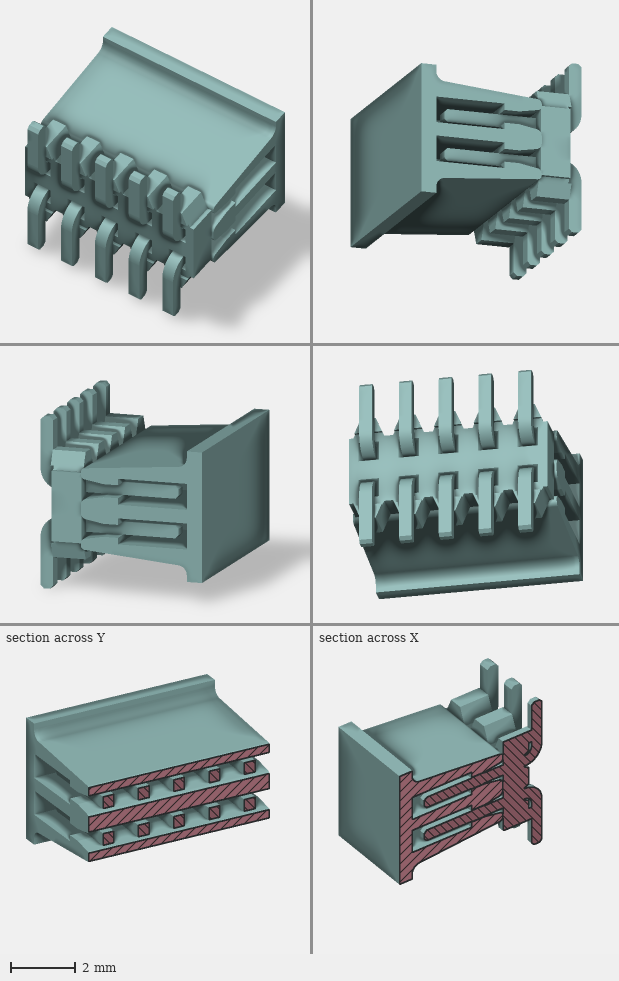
import cadquery as cq
import math


PIN_COLUMNS = 5
PITCH = 1.27
ROW_Z = PITCH / 2

CAP_LENGTH = 6.5
CAP_DEPTH = 4.0
FLANGE_HEIGHT = 4.17
FLANGE_THICKNESS = 0.5
ROOT_HALF_HEIGHT = 1.6
TAPER_ANGLE = 5.0
ROOT_FILLET = 0.3
OUTER_TIP_FILLET = 0.14
MIDDLE_TIP_FILLET = 0.2
SLOT_HEIGHT = 0.83
SLOT_START_Y = 1.23
FLARE_DEPTH = 0.75
FLARE_ANGLE = 10.0

BLOCK_LENGTH = 6.33
BLOCK_DEPTH = 0.99
BLOCK_HEIGHT = 2.25
RIB_TOP_Z = 1.715
RIB_TOP_WIDTH = 0.48
RIB_BASE_WIDTH = 0.99
RIB_RELIEF_Z = 1.25

PIN_WIDTH = 0.4
PIN_THICKNESS = 0.415
PIN_TIP_Y = 3.05
PIN_FRONT_Y = -1.5
PIN_END_Z = 2.75
PIN_CHAMFER = 0.105
BEND_INNER_RADIUS = 0.255
RIB_FRONT_Y = PIN_FRONT_Y + PIN_THICKNESS

POCKET_WIDTH = 0.65
POCKET_HEIGHT = 0.625
POCKET_DEPTH = 0.195

COLUMN_XS = [(i - (PIN_COLUMNS - 1) / 2) * PITCH for i in range(PIN_COLUMNS)]


def prism_along_x(outline, length):
    """Extrude a closed outline drawn on the YZ plane, centred on x = 0."""
    return outline.close().extrude(length / 2, both=True)


def mirrored_in_z(solid):
    return solid.mirror("XY")


def make_cap_slot():
    """Through slot of the upper row: flared mouth, pin-tight throat, tall chamber."""
    floor_y = CAP_DEPTH - FLANGE_THICKNESS
    throat = PIN_THICKNESS / 2
    mouth = throat + FLARE_DEPTH * math.tan(math.radians(FLARE_ANGLE))
    chamber_depth = floor_y - SLOT_START_Y
    neck = prism_along_x(
        cq.Workplane("YZ").polyline([
            (0, ROW_Z - mouth),
            (FLARE_DEPTH, ROW_Z - throat),
            (SLOT_START_Y, ROW_Z - throat),
            (SLOT_START_Y, ROW_Z + throat),
            (FLARE_DEPTH, ROW_Z + throat),
            (0, ROW_Z + mouth),
        ]),
        CAP_LENGTH,
    )
    chamber = cq.Workplane("XY").box(CAP_LENGTH, chamber_depth, SLOT_HEIGHT)
    chamber = chamber.translate((0, SLOT_START_Y + chamber_depth / 2, ROW_Z))
    return neck.union(chamber)


def make_cap():
    flange_y = CAP_DEPTH - FLANGE_THICKNESS
    tip_half_height = ROOT_HALF_HEIGHT - flange_y * math.tan(math.radians(TAPER_ANGLE))

    flange = cq.Workplane("XY").box(CAP_LENGTH, FLANGE_THICKNESS, FLANGE_HEIGHT)
    flange = flange.translate((0, flange_y + FLANGE_THICKNESS / 2, 0))
    tapered_core = prism_along_x(
        cq.Workplane("YZ").polyline([
            (0, -tip_half_height),
            (flange_y, -ROOT_HALF_HEIGHT),
            (flange_y, ROOT_HALF_HEIGHT),
            (0, tip_half_height),
        ]),
        CAP_LENGTH,
    )
    cap = flange.union(tapered_core)
    for side in (1, -1):
        root_edge = cq.selectors.NearestToPointSelector((0, flange_y, side * ROOT_HALF_HEIGHT))
        cap = cap.edges("|X").edges(root_edge).fillet(ROOT_FILLET)

    slot = make_cap_slot()
    cap = cap.cut(slot).cut(mirrored_in_z(slot))
    cap = cap.faces("<Y").faces("<Z or >Z").edges("|X").fillet(OUTER_TIP_FILLET)
    middle_tip = cq.selectors.NearestToPointSelector((0, 0, 0))
    return cap.faces("<Y").faces(middle_tip).edges("|X").fillet(MIDDLE_TIP_FILLET)


def make_upper_pin(x):
    """Pin of the upper row: straight blade, quarter bend, leg pointing up."""
    low_z = ROW_Z - PIN_THICKNESS / 2
    high_z = ROW_Z + PIN_THICKNESS / 2
    outer_radius = BEND_INNER_RADIUS + PIN_THICKNESS
    bend_y = PIN_FRONT_Y + outer_radius
    bend_z = low_z + outer_radius
    diagonal = math.sqrt(0.5)
    outline = (
        cq.Workplane("YZ")
        .moveTo(PIN_TIP_Y, low_z)
        .lineTo(bend_y, low_z)
        .threePointArc((bend_y - outer_radius * diagonal, bend_z - outer_radius * diagonal),
                       (PIN_FRONT_Y, bend_z))
        .lineTo(PIN_FRONT_Y, PIN_END_Z)
        .lineTo(RIB_FRONT_Y, PIN_END_Z)
        .lineTo(RIB_FRONT_Y, bend_z)
        .threePointArc((bend_y - BEND_INNER_RADIUS * diagonal, bend_z - BEND_INNER_RADIUS * diagonal),
                       (bend_y, high_z))
        .lineTo(PIN_TIP_Y, high_z)
    )
    pin = prism_along_x(outline, PIN_WIDTH)
    pin = pin.faces(">Y").edges("|X").chamfer(PIN_CHAMFER)
    pin = pin.faces(">Z").edges("|X").chamfer(PIN_CHAMFER)
    return pin.translate((x, 0, 0))


def make_upper_rib(x):
    """Trapezoidal rib on top of the block, relieved at the foot of its front end."""
    base_z = BLOCK_HEIGHT / 2
    rib = (
        cq.Workplane("XZ")
        .polyline([
            (x - RIB_BASE_WIDTH / 2, base_z),
            (x + RIB_BASE_WIDTH / 2, base_z),
            (x + RIB_TOP_WIDTH / 2, RIB_TOP_Z),
            (x - RIB_TOP_WIDTH / 2, RIB_TOP_Z),
        ])
        .close()
        .extrude(-RIB_FRONT_Y)
    )
    relief_depth = -RIB_FRONT_Y - BLOCK_DEPTH
    relief_height = RIB_RELIEF_Z - base_z
    relief = cq.Workplane("XY").box(RIB_BASE_WIDTH, relief_depth, relief_height)
    relief = relief.translate((x, -BLOCK_DEPTH - relief_depth / 2, base_z + relief_height / 2))
    return rib.cut(relief)


def make_upper_pocket(x):
    """Pocket in the front of the block that narrows down to the pin."""
    return (
        cq.Workplane("XZ", origin=(x, -BLOCK_DEPTH, ROW_Z))
        .rect(POCKET_WIDTH, POCKET_HEIGHT)
        .workplane(offset=-POCKET_DEPTH)
        .rect(PIN_WIDTH, PIN_THICKNESS)
        .loft(ruled=True)
    )


def make_header():
    header = cq.Workplane("XY").box(BLOCK_LENGTH, BLOCK_DEPTH, BLOCK_HEIGHT)
    header = header.translate((0, -BLOCK_DEPTH / 2, 0))
    for x in COLUMN_XS:
        rib = make_upper_rib(x)
        pocket = make_upper_pocket(x)
        pin = make_upper_pin(x)
        header = header.union(rib).union(mirrored_in_z(rib))
        header = header.cut(pocket).cut(mirrored_in_z(pocket))
        header = header.union(pin).union(mirrored_in_z(pin))
    return header


cap = make_cap()
header = make_header()

result = cq.Compound.makeCompound([cap.solids().val(), header.solids().val()])